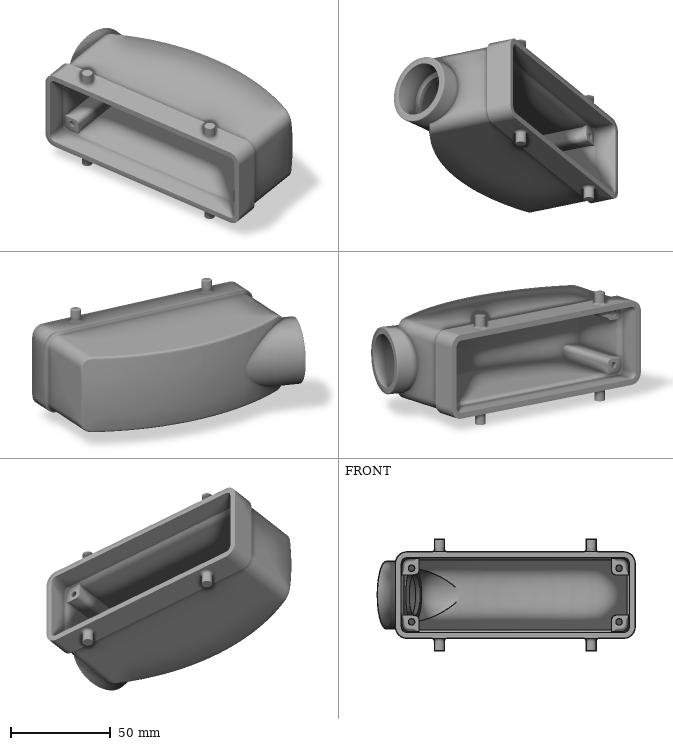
import cadquery as cq
import math

rim_length = 120.4
rim_height = 43.5
rim_depth = 13.2
rim_corner_radius = 6.0
wall = 3.0

body_inset = 1.3
body_length = rim_length - 2 * body_inset
body_height = rim_height - 2 * body_inset
body_corner_radius = 5.6
roof_apex = 63.0
cavity_apex = 59.3
roof_radius = 120.0
roof_edge_radius = 1.3

outer_shoulder_radius = 1.5
inner_shoulder_radius = 6.5
shoulder_end = rim_depth + outer_shoulder_radius
shoulder_margin = 0.3

entry_tilt = 15.0
entry_face_x = -65.0
entry_face_y = 49.0
entry_diameter = 34.0
entry_bore_diameter = 27.0
entry_hole_diameter = 21.0
entry_length = 15.0
entry_stop_thickness = 2.3
entry_edge_radius = 0.5
elbow_radius = 80.0
elbow_sweep = 20.0

boss_x = 52.0
boss_z = 13.5
boss_inner_x = 48.3
boss_inner_z = 10.1
boss_corner_radius = 2.3
boss_outer_x = rim_length / 2
boss_outer_z = rim_height / 2
boss_length = 2 * (boss_outer_x - boss_inner_x)
boss_height = 2 * (boss_outer_z - boss_inner_z)
boss_front = 11.6
screw_hole_diameter = 3.2
screw_hole_depth = 13.0

pin_x = 38.0
pin_y = 5.3
pin_diameter = 5.2
pin_tip_z = 28.02
pin_flare_radius = 1.3


def block(length, height, corner_radius, start, end):
    """Block with rounded corners, running along Y from start to end."""
    return (
        cq.Workplane("XZ", origin=(0, start, 0))
        .rect(length, height)
        .extrude(start - end)
        .edges("|Y")
        .fillet(corner_radius)
    )


def roof_ball(apex):
    """Ball with the curvature of the roof and its highest point at the apex."""
    center = cq.Vector(0, apex - roof_radius, 0)
    return cq.Workplane(cq.Solid.makeSphere(roof_radius, center, cq.Vector(0, 1, 0), -90, 90, 360))


def domed_block(offset, apex):
    """Body under a spherical roof, with its side walls moved inward by the offset."""
    length = body_length - 2 * offset
    height = body_height - 2 * offset
    return block(length, height, body_corner_radius - offset, 0, apex).intersect(roof_ball(apex))


def stepped_block(body, offset, shoulder_radius):
    """Body widened to the rim by a curved shoulder, both moved inward by the offset."""
    flange_top = shoulder_end - shoulder_radius
    flange_inset = offset - shoulder_radius - shoulder_margin
    flange = block(
        body_length - 2 * flange_inset,
        body_height - 2 * flange_inset,
        body_corner_radius - flange_inset,
        0,
        flange_top,
    )
    half_length = body_length / 2 - offset + shoulder_margin / 2
    half_height = body_height / 2 - offset + shoulder_margin / 2
    joint = cq.selectors.BoxSelector(
        (-half_length, flange_top - shoulder_margin, -half_height),
        (half_length, flange_top + shoulder_margin, half_height),
    )
    flared = body.union(flange).edges(joint).fillet(shoulder_radius)
    rim_outline = block(
        rim_length - 2 * offset,
        rim_height - 2 * offset,
        rim_corner_radius - offset,
        0,
        roof_apex,
    )
    return flared.intersect(rim_outline)


def entry_plane(depth):
    """Plane across the entry axis at a depth below the outer face, facing into the housing."""
    tilt = math.radians(entry_tilt)
    inward = cq.Vector(math.cos(tilt), -math.sin(tilt), 0)
    origin = cq.Vector(entry_face_x, entry_face_y, 0) + inward * depth
    return cq.Plane(origin=origin, xDir=(0, 0, 1), normal=inward)


def entry_cylinder(diameter, start, end):
    """Cylinder on the entry axis between two depths below the outer face."""
    return cq.Workplane(entry_plane(start)).circle(diameter / 2).extrude(end - start)


def elbow(diameter):
    """Bend that turns the entry axis toward X."""
    return (
        cq.Workplane(entry_plane(entry_length))
        .circle(diameter / 2)
        .revolve(elbow_sweep, (0, -elbow_radius, 0), (1, -elbow_radius, 0))
    )


def build_bosses(cavity):
    """Corner bosses, grown out to the cavity walls and the roof."""
    bosses = cq.Workplane()
    for side_x in (-1, 1):
        for side_z in (-1, 1):
            boss = block(boss_length, boss_height, boss_corner_radius, boss_front, roof_apex)
            center = (side_x * boss_outer_x, 0, side_z * boss_outer_z)
            bosses = bosses.add(boss.translate(center))
    return bosses.combine().intersect(cavity)


def build_screw_holes():
    """Blind holes in the front faces of the bosses."""
    centers = [(x, z) for x in (-boss_x, boss_x) for z in (-boss_z, boss_z)]
    return (
        cq.Workplane("XZ", origin=(0, boss_front, 0))
        .pushPoints(centers)
        .circle(screw_hole_diameter / 2)
        .extrude(-screw_hole_depth)
    )


def build_housing():
    """Hollow housing with its cable entry and screw bosses."""
    body = domed_block(0, roof_apex).faces("%SPHERE").edges().fillet(roof_edge_radius)
    outside = stepped_block(body, 0, outer_shoulder_radius)
    cavity = stepped_block(domed_block(wall, cavity_apex), wall, inner_shoulder_radius)

    tube = entry_cylinder(entry_diameter, 0, entry_length).faces("<X").edges().fillet(entry_edge_radius)
    bore_depth = entry_length - entry_stop_thickness
    return (
        outside.union(elbow(entry_diameter))
        .cut(cavity)
        .union(tube)
        .cut(elbow(entry_bore_diameter))
        .union(build_bosses(cavity))
        .cut(entry_cylinder(entry_bore_diameter, 0, bore_depth))
        .cut(entry_cylinder(entry_hole_diameter, bore_depth, entry_length))
        .cut(build_screw_holes())
    )


def build_pin(x, side):
    """Pin standing on the rim, with a concave flare at its foot; side is the sign of its Z direction."""
    radius = pin_diameter / 2
    foot_radius = radius + pin_flare_radius
    foot_z = rim_height / 2
    flare_mid = pin_flare_radius * (1 - math.sqrt(0.5))
    return (
        cq.Workplane("XZ")
        .moveTo(0, foot_z)
        .lineTo(foot_radius, foot_z)
        .threePointArc((radius + flare_mid, foot_z + flare_mid), (radius, foot_z + pin_flare_radius))
        .lineTo(radius, pin_tip_z)
        .lineTo(0, pin_tip_z)
        .close()
        .revolve(360, (0, 0, 0), (0, 1, 0))
        .rotate((0, 0, 0), (1, 0, 0), 0 if side > 0 else 180)
        .translate((x, pin_y, 0))
    )


housing = build_housing()
pins = [build_pin(x, side) for x in (-pin_x, pin_x) for side in (-1, 1)]

result = cq.Compound.makeCompound([housing.val(), *[pin.val() for pin in pins]])